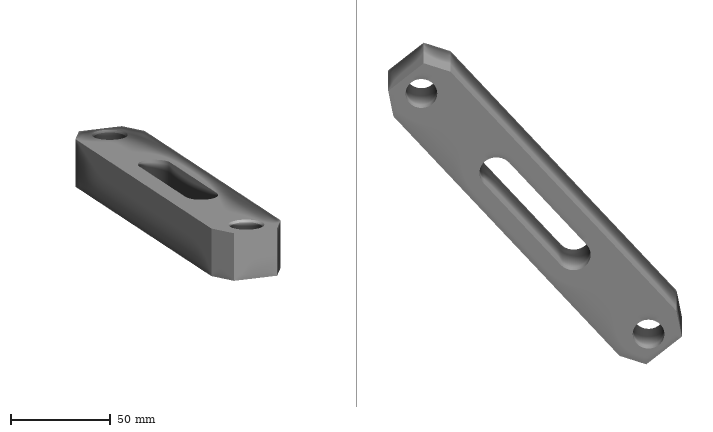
import cadquery as cq

length = 200.0
width = 38.0
height = 25.0

corner_cut_x = 12.5
corner_cut_y = 7.2

hole_diameter = 16.0
countersink_diameter = 18.2
countersink_angle = 90.0
hole_end_distance = 12.0
hole_x = length / 2 - hole_end_distance

slot_length = 77.0
slot_width = 17.2


def make_bar():
    """Flat bar with all four vertical corners cut at an angle."""
    half_length = length / 2
    half_width = width / 2
    shoulder_x = half_length - corner_cut_x
    end_y = half_width - corner_cut_y
    outline = [
        (-shoulder_x, -half_width),
        (shoulder_x, -half_width),
        (half_length, -end_y),
        (half_length, end_y),
        (shoulder_x, half_width),
        (-shoulder_x, half_width),
        (-half_length, end_y),
        (-half_length, -end_y),
    ]
    return cq.Workplane("XY").polyline(outline).close().extrude(height)


def make_slot():
    """Cutter for the through slot."""
    return cq.Workplane("XY").slot2D(slot_length, slot_width).extrude(height)


slotted_bar = make_bar().cut(make_slot())

result = (
    slotted_bar.faces(">Z")
    .workplane(origin=(0, 0, height))
    .pushPoints([(-hole_x, 0), (hole_x, 0)])
    .cskHole(hole_diameter, countersink_diameter, countersink_angle)
)